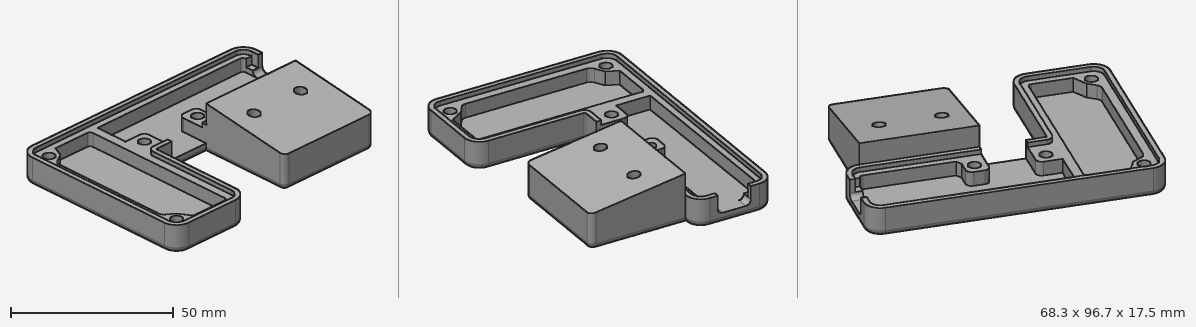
import math

import cadquery as cq

TRAY_LENGTH_X = 68.35
TRAY_LENGTH_Y = 96.66
TRAY_HEIGHT = 10.0
ARM_WIDTH = 28.35
FOOT_WIDTH = 30.8
OUTER_RADIUS = 5.3
INSIDE_CORNER_RADIUS = 0.5
BOTTOM_RADIUS = 2.0
FLOOR_Z = 3.5

LIP_WIDTH = 1.8
LEDGE_Z = 8.4

ARM_POCKET_LEFT_TOP = 4.0
ARM_POCKET_LEFT_BOTTOM = 4.25
ARM_POCKET_RIGHT = 24.25
ARM_POCKET_BOTTOM = 29.4
ARM_POCKET_TOP = 92.45
OPENING_CENTER_Y = 45.0
OPENING_WIDTH = 14.9
BOSS_LEFT = 16.4
UPPER_BOSS_TOP = 60.0
BOSS_CHAMFER_X = 1.9
BOSS_CHAMFER_Y = 1.2
BOSS_RADIUS = 2.0
POCKET_RADIUS = 1.2

FOOT_POCKET_LEFT = 4.25
FOOT_POCKET_RIGHT = 64.2
FOOT_POCKET_BOTTOM = 4.8
FOOT_POCKET_TOP = 26.1
LEFT_BOSS_POINTS = [(11.0, FOOT_POCKET_BOTTOM), (8.35, 9.25), (FOOT_POCKET_LEFT, 11.15)]
RIGHT_BOSS_POINTS = [(FOOT_POCKET_RIGHT, 11.5), (59.55, 8.6), (56.95, FOOT_POCKET_BOTTOM)]
BOSS_BLEND_RADIUS = 2.4

SCREW_DIAMETER = 4.1
SCREW_DEPTH = LEDGE_Z - FLOOR_Z
FOOT_SCREW_INSET = 6.3
ARM_SCREW_X = 20.5
ARM_SCREW_SPACING = 23.0

PORT_CENTER_X = ARM_WIDTH / 2
PORT_WIDTH = 11.8
PORT_RADIUS = 1.8
PORT_RECESS_WIDTH = 17.6
PORT_RECESS_Z = 5.4

WEDGE_RIGHT = 62.45
WEDGE_TOP_Y = 91.1
WEDGE_BOTTOM_Y = OPENING_CENTER_Y + OPENING_WIDTH / 2
WEDGE_PEAK_Z = 17.5
WEDGE_SLOPE_DEGREES = 8.0
WEDGE_CORNER_RADIUS = 2.0
WEDGE_HOLE_DIAMETER = 4.2
WEDGE_HOLE_DEPTH = 9.0
WEDGE_HOLE_X = 40.8
WEDGE_HOLE_YS = (60.85, 80.95)

CORNER_REACH = 0.05


def corner_fillet(body, points, radius):
    """Round the vertical edges of a prism that stand at the given XY points."""
    for x, y in points:
        low_corner = (x - CORNER_REACH, y - CORNER_REACH, 0)
        high_corner = (x + CORNER_REACH, y + CORNER_REACH, WEDGE_PEAK_Z)
        nearby = cq.selectors.BoxSelector(low_corner, high_corner)
        body = body.edges("|Z").edges(nearby).fillet(radius)
    return body


def prism(points, bottom_z, top_z):
    return cq.Workplane("XY").workplane(offset=bottom_z).polyline(points).close().extrude(top_z - bottom_z)


def box(x_min, x_max, y_min, y_max, z_min, z_max):
    size = (x_max - x_min, y_max - y_min, z_max - z_min)
    return cq.Workplane("XY").box(*size, centered=False).translate((x_min, y_min, z_min))


def l_prism(inset, bottom_z, top_z):
    """The tray's L outline, moved inwards by inset."""
    left = inset
    bottom = inset
    right = TRAY_LENGTH_X - inset
    top = TRAY_LENGTH_Y - inset
    arm_right = ARM_WIDTH - inset
    foot_top = FOOT_WIDTH - inset
    inside_corner = (arm_right, foot_top)
    outer_corners = [(left, bottom), (right, bottom), (right, foot_top), (arm_right, top), (left, top)]
    outline = outer_corners[:3] + [inside_corner] + outer_corners[3:]
    body = prism(outline, bottom_z, top_z)
    body = corner_fillet(body, outer_corners, OUTER_RADIUS - inset)
    return corner_fillet(body, [inside_corner], INSIDE_CORNER_RADIUS + inset)


def wedge():
    run = WEDGE_RIGHT - ARM_WIDTH
    slope = math.radians(WEDGE_SLOPE_DEGREES)
    low_z = WEDGE_PEAK_Z - run * math.tan(slope)
    root_x = ARM_WIDTH - LIP_WIDTH
    profile = [
        (root_x, 0),
        (WEDGE_RIGHT, 0),
        (WEDGE_RIGHT, low_z),
        (ARM_WIDTH, WEDGE_PEAK_Z),
        (ARM_WIDTH, LEDGE_Z),
        (root_x, LEDGE_Z),
    ]
    body = (
        cq.Workplane("XZ", origin=(0, WEDGE_BOTTOM_Y, 0))
        .polyline(profile)
        .close()
        .extrude(WEDGE_BOTTOM_Y - WEDGE_TOP_Y)
    )
    corners = [(WEDGE_RIGHT, WEDGE_BOTTOM_Y), (WEDGE_RIGHT, WEDGE_TOP_Y)]
    return corner_fillet(body, corners, WEDGE_CORNER_RADIUS)


def wedge_hole(y):
    """A blind hole square to the sloping face."""
    slope = math.radians(WEDGE_SLOPE_DEGREES)
    surface_z = WEDGE_PEAK_Z - (WEDGE_HOLE_X - ARM_WIDTH) * math.tan(slope)
    axis = cq.Vector(math.sin(slope), 0, math.cos(slope))
    floor_center = cq.Vector(WEDGE_HOLE_X, y, surface_z) - axis * WEDGE_HOLE_DEPTH
    return cq.Solid.makeCylinder(WEDGE_HOLE_DIAMETER / 2, 2 * WEDGE_HOLE_DEPTH, floor_center, axis)


def arm_pocket():
    opening_bottom = OPENING_CENTER_Y - OPENING_WIDTH / 2
    opening_top = OPENING_CENTER_Y + OPENING_WIDTH / 2
    points = [
        (ARM_POCKET_LEFT_BOTTOM, ARM_POCKET_BOTTOM),
        (BOSS_LEFT, ARM_POCKET_BOTTOM),
        (BOSS_LEFT, opening_bottom),
        (ARM_WIDTH, opening_bottom),
        (ARM_WIDTH, opening_top),
        (BOSS_LEFT, opening_top),
        (BOSS_LEFT, UPPER_BOSS_TOP),
        (ARM_POCKET_RIGHT - BOSS_CHAMFER_X, UPPER_BOSS_TOP),
        (ARM_POCKET_RIGHT, UPPER_BOSS_TOP + BOSS_CHAMFER_Y),
        (ARM_POCKET_RIGHT, ARM_POCKET_TOP),
        (ARM_POCKET_LEFT_TOP, ARM_POCKET_TOP),
    ]
    body = prism(points, FLOOR_Z, TRAY_HEIGHT)
    boss_corners = [(BOSS_LEFT, y) for y in (opening_bottom, opening_top, UPPER_BOSS_TOP)]
    body = corner_fillet(body, boss_corners, BOSS_RADIUS)
    end_corners = [(ARM_POCKET_RIGHT, ARM_POCKET_TOP), (ARM_POCKET_LEFT_TOP, ARM_POCKET_TOP)]
    return corner_fillet(body, end_corners, POCKET_RADIUS)


def foot_pocket():
    top_corners = [(FOOT_POCKET_LEFT, FOOT_POCKET_TOP), (FOOT_POCKET_RIGHT, FOOT_POCKET_TOP)]
    points = LEFT_BOSS_POINTS + top_corners + RIGHT_BOSS_POINTS
    body = prism(points, FLOOR_Z, TRAY_HEIGHT)
    body = corner_fillet(body, top_corners, POCKET_RADIUS)
    return corner_fillet(body, [LEFT_BOSS_POINTS[0], RIGHT_BOSS_POINTS[-1]], BOSS_BLEND_RADIUS)


def screw_holes():
    arm_screw_offset = ARM_SCREW_SPACING / 2
    centers = [
        (FOOT_SCREW_INSET, FOOT_SCREW_INSET),
        (TRAY_LENGTH_X - FOOT_SCREW_INSET, FOOT_SCREW_INSET),
        (ARM_SCREW_X, OPENING_CENTER_Y - arm_screw_offset),
        (ARM_SCREW_X, OPENING_CENTER_Y + arm_screw_offset),
    ]
    ledge = cq.Workplane("XY").workplane(offset=LEDGE_Z).pushPoints(centers)
    return ledge.circle(SCREW_DIAMETER / 2).extrude(-SCREW_DEPTH)


def port():
    """A slot with rounded lower corners, and a wider recess just inside the lip."""
    half_width = PORT_WIDTH / 2
    slot = box(
        PORT_CENTER_X - half_width,
        PORT_CENTER_X + half_width,
        ARM_POCKET_TOP,
        TRAY_LENGTH_Y,
        FLOOR_Z,
        TRAY_HEIGHT,
    )
    slot = slot.edges("|Y and <Z").fillet(PORT_RADIUS)
    half_recess = PORT_RECESS_WIDTH / 2
    recess = box(
        PORT_CENTER_X - half_recess,
        PORT_CENTER_X + half_recess,
        ARM_POCKET_TOP,
        TRAY_LENGTH_Y - LIP_WIDTH,
        PORT_RECESS_Z,
        TRAY_HEIGHT,
    )
    return slot.union(recess)


body = l_prism(0, 0, TRAY_HEIGHT).union(wedge())
body = body.faces("<Z").edges().fillet(BOTTOM_RADIUS)
body = body.cut(l_prism(LIP_WIDTH, LEDGE_Z, TRAY_HEIGHT))
body = body.cut(arm_pocket()).cut(foot_pocket()).cut(screw_holes()).cut(port())
for hole_y in WEDGE_HOLE_YS:
    body = body.cut(cq.Workplane(wedge_hole(hole_y)))

result = body